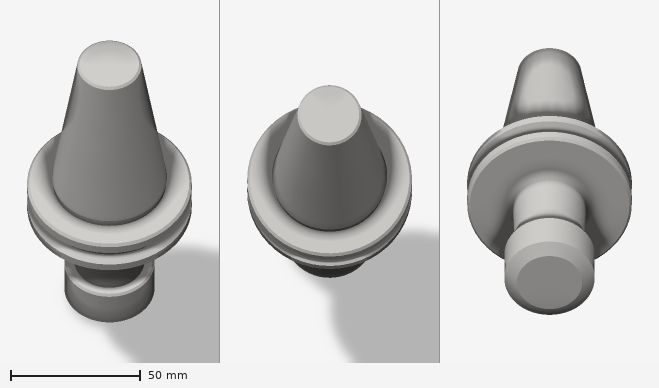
import cadquery as cq

total_height = 138.4

nose_radius = 12.6
nose_height = 2.9
nut_radius = 17.5
nut_top = 19.2
nut_chamfer = 0.8

neck_radius = 13.5
neck_cone_start = 26.0
collar_radius = 14.1
collar_bottom = 47.0
neck_fillet = 3.0

flange_diameter = 63.5
flange_radius = flange_diameter / 2
flange_bottom = 51.0
flange_top = 66.8
flange_chamfer = 1.0
groove_floor_radius = 28.1
groove_center = 58.8
groove_mouth_width = 6.9
groove_floor_width = 3.6

relief_radius = 21.9
gauge_diameter = 44.4
gauge_radius = gauge_diameter / 2
gauge_height = 70.0
taper_ratio = 7 / 24
tip_chamfer = 0.8

collar_top = flange_bottom - neck_fillet
half_mouth = groove_mouth_width / 2
half_floor = groove_floor_width / 2
tip_radius = gauge_radius - (total_height - gauge_height) * taper_ratio / 2
fillet_mid = neck_fillet * (1 - 0.5 ** 0.5)


def make_body():
    """Revolve the half section; sketch x is the radius and sketch y is the height."""
    profile = (
        cq.Workplane("XZ")
        .moveTo(0, 0)
        .lineTo(nose_radius, 0)
        .lineTo(nut_radius, nose_height)
        .lineTo(nut_radius, nut_top - nut_chamfer)
        .lineTo(nut_radius - nut_chamfer, nut_top)
        .lineTo(neck_radius, nut_top)
        .lineTo(neck_radius, neck_cone_start)
        .lineTo(collar_radius, collar_bottom)
        .lineTo(collar_radius, collar_top)
        .threePointArc(
            (collar_radius + fillet_mid, flange_bottom - fillet_mid),
            (collar_radius + neck_fillet, flange_bottom),
        )
        .lineTo(flange_radius - flange_chamfer, flange_bottom)
        .lineTo(flange_radius, flange_bottom + flange_chamfer)
        .lineTo(flange_radius, groove_center - half_mouth)
        .lineTo(groove_floor_radius, groove_center - half_floor)
        .lineTo(groove_floor_radius, groove_center + half_floor)
        .lineTo(flange_radius, groove_center + half_mouth)
        .lineTo(flange_radius, flange_top - flange_chamfer)
        .lineTo(flange_radius - flange_chamfer, flange_top)
        .lineTo(relief_radius, flange_top)
        .lineTo(relief_radius, gauge_height)
        .lineTo(gauge_radius, gauge_height)
        .lineTo(tip_radius, total_height)
        .lineTo(0, total_height)
        .close()
    )
    return profile.revolve(360, (0, 0, 0), (0, 1, 0))


result = make_body().faces(">Z").edges().chamfer(tip_chamfer)